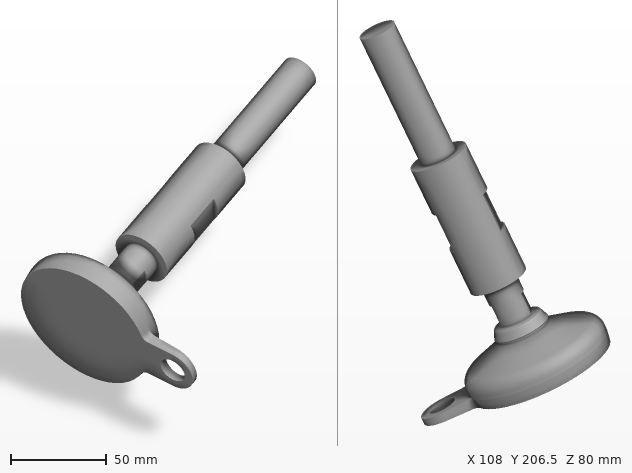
import cadquery as cq
import math


pad_radius = 40.0
foot_radius = 39.99
sole_radius = 39.1
drafted_rim_height = 6.15
straight_rim_top = 8.8
shoulder_radius = 7.7
cone_angle = math.radians(22.4)

cone_top_radius = 17.4
neck_radius = 15.0
neck_bottom = 24.6
neck_top = 25.8
cap_radius = 15.5
cap_bottom = 26.4
cap_corner_radius = 13.7
cap_corner_bottom = 30.8
cap_face_radius = 13.2
cap_face_edge = 31.6
cap_top = 32.5

stem_radius = 10.0
total_length = 206.5
stem_flat_start = 33.0
stem_flat_end = 45.0
stem_across_flats = 17.0

sleeve_radius = 16.0
sleeve_start = 55.0
sleeve_length = 75.0
sleeve_flat_length = 22.0
sleeve_across_flats = 27.0

tab_half_width = 12.5
tab_hole_diameter = 15.0
tab_hole_x = 55.5
tab_tip_x = tab_hole_x + tab_half_width
tab_tip_thickness = 4.0
tab_slope = math.radians(3.7)
tab_root_fillet = 4.5


def spanner_flats(start, end, across_flats, outer_radius):
    """Blocks that cut two parallel flats, facing -X and +X, into a round bar along Y."""
    depth = outer_radius - across_flats / 2
    block = cq.Workplane("XY").box(depth, end - start, 2 * outer_radius)
    offset = (across_flats + depth) / 2
    middle = (start + end) / 2
    return block.translate((offset, middle, 0)).union(block.translate((-offset, middle, 0)))


def foot_plate_and_stem():
    """Drafted rim, rounded shoulder, cone, undercut neck, cap and stem as one turned shape."""
    def shoulder_point(angle):
        return (
            foot_radius - shoulder_radius + shoulder_radius * math.cos(angle),
            straight_rim_top + shoulder_radius * math.sin(angle),
        )

    tangent_angle = math.pi / 2 - cone_angle
    shoulder_end = shoulder_point(tangent_angle)
    cone_top = shoulder_end[1] + (shoulder_end[0] - cone_top_radius) * math.tan(cone_angle)
    return (
        cq.Workplane("XY")
        .moveTo(0, 0)
        .lineTo(sole_radius, 0)
        .lineTo(pad_radius, drafted_rim_height)
        .lineTo(foot_radius, drafted_rim_height)
        .lineTo(foot_radius, straight_rim_top)
        .threePointArc(shoulder_point(tangent_angle / 2), shoulder_end)
        .lineTo(cone_top_radius, cone_top)
        .lineTo(neck_radius, neck_bottom)
        .lineTo(neck_radius, neck_top)
        .lineTo(cap_radius, cap_bottom)
        .lineTo(cap_corner_radius, cap_corner_bottom)
        .lineTo(cap_face_radius, cap_face_edge)
        .lineTo(stem_radius, cap_top)
        .lineTo(stem_radius, total_length)
        .lineTo(0, total_length)
        .close()
        .revolve(360, (0, 0, 0), (0, 1, 0))
    )


def tab():
    """Round-ended tab toward +X, thinning toward its tip."""
    root_thickness = tab_tip_thickness + tab_tip_x * math.tan(tab_slope)
    side_profile = (
        cq.Workplane("XY")
        .polyline([(0, 0), (tab_tip_x, 0), (tab_tip_x, tab_tip_thickness), (0, root_thickness)])
        .close()
        .extrude(tab_half_width, both=True)
    )
    outline = (
        cq.Workplane("XZ")
        .moveTo(0, -tab_half_width)
        .lineTo(tab_hole_x, -tab_half_width)
        .threePointArc((tab_tip_x, 0), (tab_hole_x, tab_half_width))
        .lineTo(0, tab_half_width)
        .close()
        .extrude(-root_thickness)
    )
    return side_profile.intersect(outline)


def make_foot():
    foot = foot_plate_and_stem().union(tab())
    root_x = math.sqrt(pad_radius**2 - tab_half_width**2)
    for side in (-1, 1):
        corner = cq.NearestToPointSelector((root_x, drafted_rim_height / 2, side * tab_half_width))
        foot = foot.edges(corner).fillet(tab_root_fillet)
    tab_hole = (
        cq.Workplane("XZ")
        .center(tab_hole_x, 0)
        .circle(tab_hole_diameter / 2)
        .extrude(-drafted_rim_height)
    )
    stem_flats = spanner_flats(stem_flat_start, stem_flat_end, stem_across_flats, stem_radius)
    return foot.cut(tab_hole).cut(stem_flats)


def make_sleeve():
    """Tube on the stem with two spanner flats at mid-length."""
    middle = sleeve_start + sleeve_length / 2
    flats = spanner_flats(
        middle - sleeve_flat_length / 2,
        middle + sleeve_flat_length / 2,
        sleeve_across_flats,
        sleeve_radius,
    )
    tube = (
        cq.Workplane("XZ", origin=(0, sleeve_start, 0))
        .circle(sleeve_radius)
        .circle(stem_radius)
        .extrude(-sleeve_length)
    )
    return tube.cut(flats)


foot = make_foot()
sleeve = make_sleeve()

result = cq.Compound.makeCompound([foot.val(), sleeve.val()])